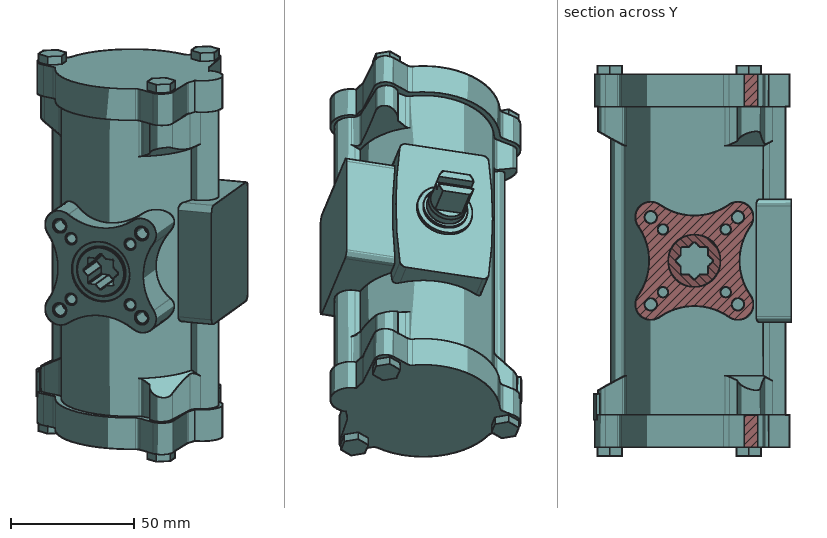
import cadquery as cq
import math


match_tolerance = 0.01

tube_radius = 28.8
rail_radius = 5.0
rail_centre = 29.0
port_rail_radius = 6.6
port_rail_centre = 30.4
rail_fillet = 1.5

overall_height = 158.4
head_height = 3.5
cap_top = overall_height / 2 - head_height
cap_thickness = 13.2
cap_bottom = cap_top - cap_thickness
cap_radius = 31.2
cap_bump_radius = 8.2
bolt_flats = 10.0
bolt_circle_radius = 34.3
corner_angle = 50.0
corner_x = bolt_circle_radius * math.cos(math.radians(corner_angle))
corner_y = bolt_circle_radius * math.sin(math.radians(corner_angle))
bolt_places = [(-bolt_circle_radius, 0), (corner_x, corner_y), (corner_x, -corner_y)]

ear_flare = 19.0
ear_fillet = 2.5
side_ear_tip = 40.5
cap_ear_radius = 6.5
boss_tip = 39.1
side_boss_radius = 4.0
corner_boss_radius = 4.7
corner_boss_flank_y = 27.0
boss_outer_slope = 6.0
corner_boss_flare = 18.0
boss_run_out = 30.0
boss_end = 46.6
boss_blend_radius = 4.0
cap_corner_radius = 4.8
cap_corner_centre = (23.0, 28.4)
cap_flank_end_x = 28.5
cap_corner_flare = 28.0

tab_inner_radius = 5.8
tab_outer_radius = 6.9
tab_width = 7.5
tab_top = -54.0
tab_bottom = -64.5

pad_face = -37.5
pad_bolt_circle = 50.0
inner_bolt_circle = 36.0
pad_lobe_radius = 6.3
pad_waist = 18.4
pad_hole = 4.92
pad_hole_mouth = 6.0
inner_hole = 4.13
inner_hole_mouth = 5.0
hole_depth = 10.0
spigot_recess = 25.0
spigot_recess_depth = 1.0

block_fillet = 2.6
top_face = 34.9
top_half_width = 20.2
top_end_half_width = 18.3
top_half_height = 31.2
port_face = 39.4
port_y_min = -14.2
port_y_max = 29.2
port_half_height = 25.0

shaft_diameter = 21.0
shaft_chamfer = 0.5
collar_diameter = 23.0
collar_end = 36.2
ring_diameter = 18.42
ring_end = 37.3
neck_diameter = 16.0
neck_end = 40.4
tip_diameter = 15.0
tip_start = 41.9
tip_end = 54.9
tip_flats = 10.0
slot_width = 3.7
slot_depth = 3.9
socket_flats = 11.0
socket_points = 15.0
socket_depth = 16.0


def y_plane(y):
    """Workplane at the given Y, with local axes along X and -Z, extruding toward +Y."""
    return cq.Workplane(cq.Plane(origin=(0, y, 0), xDir=(1, 0, 0), normal=(0, 1, 0)))


def disc(radius, x, y, bottom, top):
    return cq.Workplane("XY", origin=(x, y, bottom)).circle(radius).extrude(top - bottom)


def prism(points, bottom, top):
    return cq.Workplane("XY", origin=(0, 0, bottom)).polyline(points).close().extrude(top - bottom)


def side_ear(tip, radius, bottom, top):
    """Ear toward -X whose flanks widen tangentially from a round tip to the tube."""
    slope = math.radians(ear_flare)
    centre_x = radius - tip
    tangent_x = centre_x - radius * math.sin(slope)
    tangent_y = radius * math.cos(slope)
    root_x = -tube_radius / 2
    root_y = tangent_y + (root_x - tangent_x) * math.tan(slope)
    web = [(tangent_x, tangent_y), (root_x, root_y), (root_x, -root_y), (tangent_x, -tangent_y)]
    return prism(web, bottom, top).union(disc(radius, centre_x, 0, bottom, top))


def corner_ear(centre, radius, flank_start, flank_slope, outer_root, bottom, top):
    """Ear toward +X+Y: a round lobe on a web that spreads to the core on both sides."""
    x, y = centre
    root = (0, flank_start[1] - flank_start[0] * math.tan(math.radians(flank_slope)))
    web = [flank_start, root, (0, 0), outer_root, (x + radius, y), centre]
    return prism(web, bottom, top).union(disc(radius, x, y, bottom, top))


def mirrored_pair(body, plane):
    return body.union(body.mirror(plane))


def fillet_ear_roots(body, core_radius):
    """Round the upright inner corners where the ears leave the core, except beside the port rail."""
    def at_ear_root(edge):
        point = edge.Center()
        beside_port_rail = point.x > 0 and abs(point.y) < core_radius / 3
        on_core = abs(math.hypot(point.x, point.y) - core_radius) < match_tolerance
        return on_core and not beside_port_rail
    roots = body.edges("|Z").filter(at_ear_root).vals()
    return body.newObject(roots).fillet(ear_fillet)


def make_cap():
    """End cap with three ears, the bump over the port rail and the bolt heads."""
    slope = math.radians(cap_corner_flare)
    x, y = cap_corner_centre
    flank_start = (x - cap_corner_radius * math.sin(slope), y + cap_corner_radius * math.cos(slope))
    outer_root = (cap_flank_end_x, math.sqrt(cap_radius ** 2 - cap_flank_end_x ** 2))
    ear = corner_ear(cap_corner_centre, cap_corner_radius, flank_start, cap_corner_flare, outer_root,
                     cap_bottom, cap_top)
    cap = disc(cap_radius, 0, 0, cap_bottom, cap_top).union(mirrored_pair(ear, "XZ"))
    cap = cap.union(side_ear(side_ear_tip, cap_ear_radius, cap_bottom, cap_top))
    cap = fillet_ear_roots(cap, cap_radius)
    cap = cap.union(disc(cap_bump_radius, port_rail_centre, 0, cap_bottom, cap_top))
    heads = (
        cq.Workplane("XY", origin=(0, 0, cap_top))
        .pushPoints(bolt_places)
        .polygon(6, bolt_flats, circumscribed=True)
        .extrude(head_height)
    )
    return cap.union(heads)


def make_corner_boss():
    """Corner ear of the tube end, its outer flank blended into the port rail by a concave arc."""
    slope = math.radians(boss_outer_slope)
    start_x = corner_x + corner_boss_radius
    normal_x, normal_y = math.cos(slope), math.sin(slope)
    offset_x = start_x + boss_blend_radius * normal_x - port_rail_centre
    offset_y = corner_y + boss_blend_radius * normal_y
    along = offset_x * normal_y - offset_y * normal_x
    reach = boss_blend_radius + port_rail_radius
    travel = -along - math.sqrt(along ** 2 - offset_x ** 2 - offset_y ** 2 + reach ** 2)
    arc_x = port_rail_centre + offset_x + travel * normal_y
    arc_y = offset_y - travel * normal_x
    flank_end = (arc_x - boss_blend_radius * normal_x, arc_y - boss_blend_radius * normal_y)

    flank_start = (corner_x - corner_boss_radius, corner_boss_flank_y)
    ear = corner_ear((corner_x, corner_y), corner_boss_radius, flank_start, corner_boss_flare, flank_end,
                     boss_end, cap_bottom)
    blend = prism([(0, 0), (port_rail_centre, 0), (arc_x, arc_y), flank_end], boss_end, cap_bottom)
    return ear.union(blend.cut(disc(boss_blend_radius, arc_x, arc_y, boss_end, cap_bottom)))


def make_bosses():
    """Ears of the tube end below the cap, running out in a cone about the tube axis."""
    bosses = disc(tube_radius, 0, 0, boss_end, cap_bottom)
    bosses = bosses.union(mirrored_pair(make_corner_boss(), "XZ"))
    bosses = bosses.union(side_ear(boss_tip, side_boss_radius, boss_end, cap_bottom))
    bosses = fillet_ear_roots(bosses, tube_radius)
    run_out_radius = tube_radius + (cap_bottom - boss_end) / math.tan(math.radians(boss_run_out))
    cone = (
        cq.Workplane("XZ")
        .polyline([(0, boss_end), (tube_radius, boss_end), (run_out_radius, cap_bottom), (0, cap_bottom)])
        .close()
        .revolve(360, (0, 0, 0), (0, 1, 0))
    )
    return bosses.intersect(cone)


def make_rail(centre, radius):
    """Bar along Z with a round outer side, reaching in to the tube axis."""
    web = cq.Workplane("XY").box(abs(centre), 2 * radius, 2 * cap_bottom).translate((centre / 2, 0, 0))
    return web.union(disc(radius, centre, 0, -cap_bottom, cap_bottom))


def make_tube():
    tube = disc(tube_radius, 0, 0, -cap_bottom, cap_bottom)
    tube = tube.union(make_rail(-rail_centre, rail_radius))

    def at_rail_root(edge):
        point = edge.Center()
        on_tube = abs(math.hypot(point.x, point.y) - tube_radius) < match_tolerance
        return on_tube and abs(point.y) > rail_radius / 2
    roots = tube.edges("|Z").filter(at_rail_root).vals()
    tube = tube.newObject(roots).fillet(rail_fillet)
    return tube.union(make_rail(port_rail_centre, port_rail_radius))


def make_tab():
    """Curved plate around the -X ear, held by the lower cap."""
    centre_x = cap_ear_radius - side_ear_tip
    ring = (
        cq.Workplane("XY", origin=(centre_x, 0, tab_bottom))
        .circle(tab_outer_radius)
        .circle(tab_inner_radius)
        .extrude(tab_top - tab_bottom)
    )
    window = prism([(centre_x, -tab_width / 2), (centre_x, tab_width / 2),
                    (-2 * side_ear_tip, tab_width / 2), (-2 * side_ear_tip, -tab_width / 2)],
                   tab_bottom, tab_top)
    return ring.intersect(window)


def square_places(circle_diameter):
    offset = circle_diameter / 2 * math.sqrt(0.5)
    return [(sx * offset, sz * offset) for sx in (-1, 1) for sz in (-1, 1)]


def make_pad():
    """Four round lobes joined by hollow sides tangent to them."""
    lobe = pad_bolt_circle / 2 * math.sqrt(0.5)
    gap = pad_waist - lobe
    side_radius = (lobe ** 2 + gap ** 2 - pad_lobe_radius ** 2) / (2 * (pad_lobe_radius - gap))
    side_centre = pad_waist + side_radius
    share = pad_lobe_radius / (pad_lobe_radius + side_radius)
    near = lobe - lobe * share
    far = lobe + (side_centre - lobe) * share
    tip = lobe + pad_lobe_radius * math.sqrt(0.5)
    quarter = [(0, pad_waist), (near, far), (tip, tip), (far, near)]
    outline = y_plane(pad_face).moveTo(-near, far)
    for _ in range(4):
        outline = outline.threePointArc(quarter[0], quarter[1]).threePointArc(quarter[2], quarter[3])
        quarter = [(v, -u) for u, v in quarter]
    return outline.close().extrude(-pad_face)


def pad_holes(circle_diameter, hole, mouth):
    places = square_places(circle_diameter)
    bores = y_plane(pad_face).pushPoints(places).circle(hole / 2).extrude(hole_depth)
    for x, z in places:
        sink = cq.Solid.makeCone(mouth / 2, hole / 2, (mouth - hole) / 2,
                                 cq.Vector(x, pad_face, z), cq.Vector(0, 1, 0))
        bores = bores.union(cq.Workplane(sink))
    return bores


def make_top_block():
    middle, end, height = top_half_width, top_end_half_width, top_half_height
    return (
        y_plane(0)
        .moveTo(-end, -height)
        .lineTo(end, -height)
        .threePointArc((middle, 0), (end, height))
        .lineTo(-end, height)
        .threePointArc((-middle, 0), (-end, -height))
        .close()
        .extrude(top_face)
        .edges("|Y")
        .fillet(block_fillet)
    )


def make_port_block():
    width = port_y_max - port_y_min
    return (
        cq.Workplane("XY")
        .box(port_face, width, 2 * port_half_height)
        .translate((port_face / 2, (port_y_min + port_y_max) / 2, 0))
        .edges("|X")
        .fillet(block_fillet)
    )


def make_housing():
    body = make_tube()
    end = make_cap().union(make_bosses())
    body = body.union(mirrored_pair(end, "XY")).union(make_tab())
    body = body.union(make_pad()).union(make_top_block()).union(make_port_block())
    body = body.cut(pad_holes(pad_bolt_circle, pad_hole, pad_hole_mouth))
    body = body.cut(pad_holes(inner_bolt_circle, inner_hole, inner_hole_mouth))
    bore = y_plane(pad_face).circle(shaft_diameter / 2).extrude(top_face - pad_face)
    recess = y_plane(pad_face).circle(spigot_recess / 2).extrude(spigot_recess_depth)
    return body.cut(bore).cut(recess)


def make_shaft():
    """Drive shaft along Y with a slotted two-flat tip and a socket in the pad end."""
    r = shaft_diameter / 2
    profile = [
        (0, pad_face),
        (r - shaft_chamfer, pad_face),
        (r, pad_face + shaft_chamfer),
        (r, top_face),
        (collar_diameter / 2, top_face),
        (collar_diameter / 2, collar_end),
        (ring_diameter / 2, collar_end),
        (ring_diameter / 2, ring_end),
        (neck_diameter / 2, ring_end),
        (neck_diameter / 2, neck_end),
        (tip_diameter / 2, tip_start),
        (tip_diameter / 2, tip_end),
        (0, tip_end),
    ]
    shaft = cq.Workplane("XY").polyline(profile).close().revolve(360, (0, 0, 0), (0, 1, 0))
    tip_length = tip_end - tip_start
    for side in (1, -1):
        waste = cq.Workplane("XY").box(tip_diameter, tip_length, tip_diameter)
        offset = side * (tip_flats + tip_diameter) / 2
        shaft = shaft.cut(waste.translate((0, tip_end - tip_length / 2, offset)))
    slot = cq.Workplane("XY").box(tip_diameter, slot_depth, slot_width)
    shaft = shaft.cut(slot.translate((0, tip_end - slot_depth / 2, 0)))
    square = y_plane(pad_face).rect(socket_flats, socket_flats).extrude(socket_depth)
    star = square.union(square.rotate((0, 0, 0), (0, 1, 0), 45))
    limit = y_plane(pad_face).circle(socket_points / 2).extrude(socket_depth)
    return shaft.cut(star.intersect(limit))


housing = make_housing()
shaft = make_shaft()
result = cq.Compound.makeCompound([housing.val(), shaft.val()])